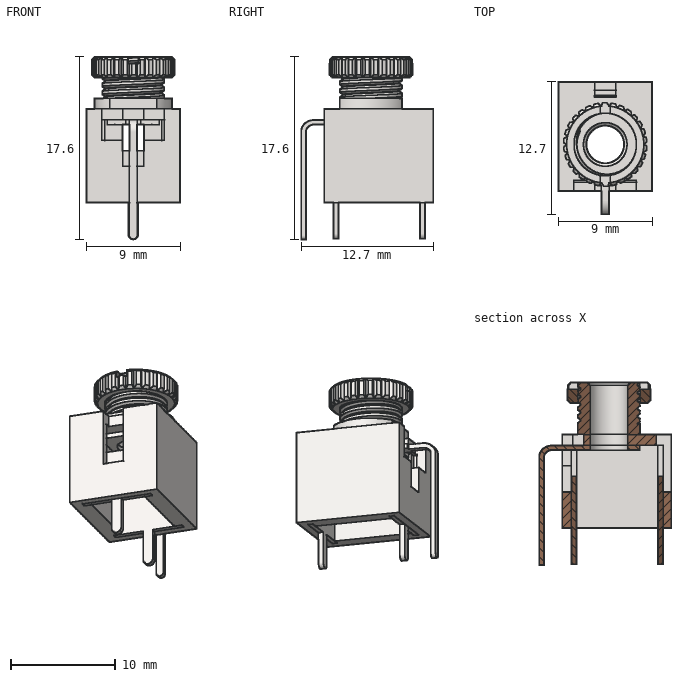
import cadquery as cq
import math


HOUSING_WIDTH = 9.0
HOUSING_HEIGHT = 9.0
FRONT_Y = -4.5
BACK_Y = 6.0
ROOF_THICKNESS = 1.05
ROOF_UNDERSIDE = HOUSING_HEIGHT - ROOF_THICKNESS
FRONT_WALL = 0.88
BACK_WALL = 0.8
CAVITY_WIDTH = 5.48
BORE_DIAMETER = 3.6

WINDOW_WIDTH = 6.0
WINDOW_DROP = 3.02
ROOF_RECESS_DEPTH = 1.04
SLOT_WIDTH = 2.04
SLOT_DROP = 5.51
FRONT_SLOT_DEPTH = 2.05
BACK_SLOT_DEPTH = 1.44

BLADE_THICKNESS = 0.51
BLADE_WIDTH = 7.02
BLADE_HEIGHT = 5.0
BLADE_PIN_WIDTH = 1.0
BLADE_PIN_LENGTH = 3.5
FRONT_BLADE_Y = FRONT_Y + FRONT_WALL + BLADE_THICKNESS / 2
BACK_BLADE_Y = BACK_Y - BACK_WALL - BLADE_THICKNESS / 2

PLATE_THICKNESS = 0.45
PLATE_WIDTH = 5.02
PLATE_LENGTH = 5.93
NECK_WIDTH = 1.45
NECK_FRONT_Y = FRONT_Y + 0.53
BENT_PIN_WIDTH = 0.75
BENT_PIN_THICKNESS = 0.5
BENT_PIN_OUTER_Y = FRONT_Y - 2.23
BENT_PIN_BOTTOM = -3.55
BEND_LENGTH = 1.28
BEND_DROP = 1.14

FLANGE_DIAMETER = 7.5
FLANGE_ACROSS_FLATS = 6.0
FLANGE_THICKNESS = 1.0
FLANGE_TOP = HOUSING_HEIGHT + FLANGE_THICKNESS
BUSHING_TOP = HOUSING_HEIGHT + 5.0
SLEEVE_LENGTH = BUSHING_TOP - FLANGE_TOP
BORE_CHAMFER = 0.3
THREAD_DIAMETER = 6.0
THREAD_PITCH = 0.75
THREAD_DEPTH = 0.28
GROOVE_MOUTH = 0.47
GROOVE_ROOT = 0.05
GROOVE_OVERLAP = 0.05
GROOVE_START = 0.55

NUT_HEIGHT = 2.0
NUT_DIAMETER = 8.0
NUT_BOTTOM = BUSHING_TOP - NUT_HEIGHT
NUT_CHAMFER = 0.3
TOOTH_COUNT = 30
TOOTH_DEPTH = 0.3
TOOTH_LAND_ANGLE = 5.8
TOOTH_SKEW_ANGLE = 0.7
NUT_SLOT_WIDTH = 1.0
NUT_SLOT_DEPTH = 0.65

CLEARANCE = 0.35


def block(width, y_start, y_end, z_start, z_end):
    """A box centred on x = 0 between the given Y and Z limits."""
    box = cq.Workplane("XY").box(width, y_end - y_start, z_end - z_start, centered=(True, False, False))
    return box.translate((0, y_start, z_start))


def cylinder(diameter, z_start, z_end):
    """A cylinder on the plug axis."""
    return cq.Workplane("XY").workplane(offset=z_start).circle(diameter / 2).extrude(z_end - z_start)


def wall_slot(y_start, y_end):
    """A slot that is open at the top of the housing."""
    return block(SLOT_WIDTH, y_start, y_end, HOUSING_HEIGHT - SLOT_DROP, HOUSING_HEIGHT + CLEARANCE)


def make_housing():
    """A box that is hollow and open below, with a roof bored for the plug."""
    housing = block(HOUSING_WIDTH, FRONT_Y, BACK_Y, 0, HOUSING_HEIGHT)

    cavity_front = FRONT_Y + FRONT_WALL
    cavity_back = BACK_Y - BACK_WALL
    housing = housing.cut(block(CAVITY_WIDTH, cavity_front, cavity_back, -CLEARANCE, ROOF_UNDERSIDE))
    for blade_y in (FRONT_BLADE_Y, BACK_BLADE_Y):
        y_start = blade_y - BLADE_THICKNESS / 2
        channel = block(BLADE_WIDTH, y_start, y_start + BLADE_THICKNESS, -CLEARANCE, ROOF_UNDERSIDE)
        housing = housing.cut(channel)

    window_floor = HOUSING_HEIGHT - WINDOW_DROP
    above_roof = HOUSING_HEIGHT + CLEARANCE
    outside_front = FRONT_Y - CLEARANCE
    housing = housing.cut(block(WINDOW_WIDTH, outside_front, cavity_front, window_floor, above_roof))
    roof_recess_y = FRONT_Y + ROOF_RECESS_DEPTH
    housing = housing.cut(block(WINDOW_WIDTH, outside_front, roof_recess_y, ROOF_UNDERSIDE, above_roof))

    housing = housing.cut(wall_slot(outside_front, FRONT_Y + FRONT_SLOT_DEPTH))
    housing = housing.cut(wall_slot(BACK_Y - BACK_SLOT_DEPTH, BACK_Y + CLEARANCE))

    return housing.cut(cylinder(BORE_DIAMETER, 0, above_roof))


def make_blade_terminal(blade_y):
    """An upright blade whose pin ends in a full round."""
    half_pin = BLADE_PIN_WIDTH / 2
    half_blade = BLADE_WIDTH / 2
    round_start = half_pin - BLADE_PIN_LENGTH
    terminal = (
        cq.Workplane("XZ")
        .moveTo(half_pin, round_start)
        .lineTo(half_pin, 0)
        .lineTo(half_blade, 0)
        .lineTo(half_blade, BLADE_HEIGHT)
        .lineTo(-half_blade, BLADE_HEIGHT)
        .lineTo(-half_blade, 0)
        .lineTo(-half_pin, 0)
        .lineTo(-half_pin, round_start)
        .threePointArc((0, -BLADE_PIN_LENGTH), (half_pin, round_start))
        .close()
        .extrude(BLADE_THICKNESS)
    )
    return terminal.translate((0, blade_y + BLADE_THICKNESS / 2, 0))


def make_bent_terminal():
    """A contact plate under the roof, with a pin that bends down in front of the housing."""
    underside = ROOF_UNDERSIDE - PLATE_THICKNESS
    plate = block(PLATE_WIDTH, -PLATE_LENGTH / 2, PLATE_LENGTH / 2, underside, ROOF_UNDERSIDE)
    plate = plate.cut(cylinder(BORE_DIAMETER, underside, ROOF_UNDERSIDE))
    neck = block(NECK_WIDTH, NECK_FRONT_Y, -PLATE_LENGTH / 2, underside, ROOF_UNDERSIDE)

    inner_y = BENT_PIN_OUTER_Y + BENT_PIN_THICKNESS
    bend_y = BENT_PIN_OUTER_Y + BEND_LENGTH
    bend_z = ROOF_UNDERSIDE - BEND_DROP
    round_start = BENT_PIN_BOTTOM + BENT_PIN_WIDTH / 2
    pin = (
        cq.Workplane("YZ")
        .moveTo(NECK_FRONT_Y, ROOF_UNDERSIDE)
        .lineTo(bend_y, ROOF_UNDERSIDE)
        .ellipseArc(BEND_LENGTH, BEND_DROP, 90, 180)
        .lineTo(BENT_PIN_OUTER_Y, round_start)
        .lineTo(inner_y, round_start)
        .lineTo(inner_y, bend_z)
        .ellipseArc(bend_y - inner_y, underside - bend_z, 90, 180, sense=-1)
        .lineTo(NECK_FRONT_Y, underside)
        .close()
        .extrude(BENT_PIN_WIDTH)
        .translate((-BENT_PIN_WIDTH / 2, 0, 0))
    )
    tip = (
        cq.Workplane("XZ", origin=(0, inner_y, round_start))
        .circle(BENT_PIN_WIDTH / 2)
        .extrude(BENT_PIN_THICKNESS)
    )
    return plate.union(neck).union(pin).union(tip)


def groove_turn(start_z):
    """One right-hand turn of the thread groove, starting on the +X side."""
    thread_radius = THREAD_DIAMETER / 2
    root_radius = thread_radius - THREAD_DEPTH
    outer_radius = thread_radius + GROOVE_OVERLAP
    widening = (GROOVE_MOUTH - GROOVE_ROOT) / THREAD_DEPTH
    outer_width = GROOVE_MOUTH + widening * GROOVE_OVERLAP
    section = [
        (root_radius, start_z - GROOVE_ROOT / 2),
        (outer_radius, start_z - outer_width / 2),
        (outer_radius, start_z + outer_width / 2),
        (root_radius, start_z + GROOVE_ROOT / 2),
    ]
    helix = cq.Wire.makeHelix(THREAD_PITCH, THREAD_PITCH, thread_radius, center=cq.Vector(0, 0, start_z))
    return cq.Workplane("XZ").polyline(section).close().sweep(cq.Workplane(obj=helix), isFrenet=True)


def make_threaded_sleeve():
    """A sleeve whose groove runs out through both ends, cut turn by turn."""
    sleeve = cylinder(THREAD_DIAMETER, FLANGE_TOP, BUSHING_TOP)
    first_turn_z = FLANGE_TOP + GROOVE_START - 2 * THREAD_PITCH
    turn_count = math.ceil(SLEEVE_LENGTH / THREAD_PITCH) + 1
    for turn in range(turn_count):
        sleeve = sleeve.cut(groove_turn(first_turn_z + turn * THREAD_PITCH))
    return sleeve


def make_bushing():
    """A flange with two flats and a threaded sleeve, bored and countersunk."""
    flange = cylinder(FLANGE_DIAMETER, HOUSING_HEIGHT, FLANGE_TOP)
    half_flats = FLANGE_ACROSS_FLATS / 2
    flange = flange.intersect(block(FLANGE_DIAMETER, -half_flats, half_flats, HOUSING_HEIGHT, FLANGE_TOP))
    bushing = flange.union(make_threaded_sleeve()).cut(cylinder(BORE_DIAMETER, HOUSING_HEIGHT, BUSHING_TOP))
    countersink = cq.Solid.makeCone(
        BORE_DIAMETER / 2,
        BORE_DIAMETER / 2 + BORE_CHAMFER,
        BORE_CHAMFER,
        pnt=cq.Vector(0, 0, BUSHING_TOP - BORE_CHAMFER),
    )
    return bushing.cut(cq.Workplane(obj=countersink))


def polar(radius, degrees):
    """The X and Y of a point at the given radius and angle."""
    angle = math.radians(degrees)
    return (radius * math.cos(angle), radius * math.sin(angle))


def make_nut():
    """A knurled ring with a driver slot across its top."""
    radius = NUT_DIAMETER / 2
    pitch_angle = 360 / TOOTH_COUNT
    outline = []
    for tooth in range(TOOTH_COUNT):
        valley_angle = tooth * pitch_angle
        land_middle = valley_angle + pitch_angle / 2 + TOOTH_SKEW_ANGLE
        outline.append(polar(radius - TOOTH_DEPTH, valley_angle))
        outline.append(polar(radius, land_middle - TOOTH_LAND_ANGLE / 2))
        outline.append(polar(radius, land_middle + TOOTH_LAND_ANGLE / 2))
    nut = cq.Workplane("XY").workplane(offset=NUT_BOTTOM).polyline(outline).close().extrude(NUT_HEIGHT)

    blank = cylinder(NUT_DIAMETER, NUT_BOTTOM, BUSHING_TOP).edges().chamfer(NUT_CHAMFER)
    nut = nut.intersect(blank)

    nut = nut.cut(cylinder(THREAD_DIAMETER, NUT_BOTTOM, BUSHING_TOP))
    slot_floor = BUSHING_TOP - NUT_SLOT_DEPTH
    return nut.cut(block(NUT_SLOT_WIDTH, -NUT_DIAMETER, NUT_DIAMETER, slot_floor, BUSHING_TOP))


housing = make_housing()
blade_terminals = [make_blade_terminal(blade_y) for blade_y in (FRONT_BLADE_Y, BACK_BLADE_Y)]
bent_terminal = make_bent_terminal()
bushing = make_bushing()
nut = make_nut()

result = cq.Compound.makeCompound(
    [
        housing.val(),
        *[terminal.val() for terminal in blade_terminals],
        bent_terminal.val(),
        bushing.val(),
        nut.val(),
    ]
)